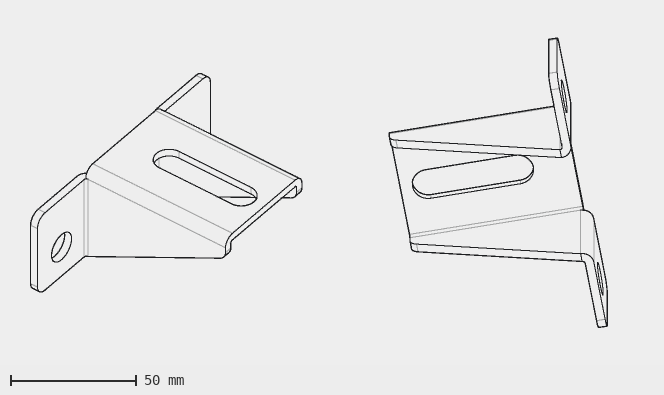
import cadquery as cq
import math

length = 73.5
span = 113.0
height = 45.0

thickness = 3.5
inner_bend = 1.0
outer_bend = inner_bend + thickness

channel_width = 50.0
free_end_depth = 10.1
corner_radius = 5.0
slot_width = 12.7
slot_length = 48.7
slot_end_margin = 5.0

hole_diameter = 13.0
hole_spacing = 81.5
hole_height = 15.1

half_width = channel_width / 2
flange_height = height - outer_bend


def make_arch(width, arch_height, bend_radius):
    """Block along X, from the channel's near end to its free end, with rounded top edges."""
    return (
        cq.Workplane("XY", origin=(thickness, 0, 0))
        .box(length - thickness, width, arch_height, centered=(False, True, False))
        .edges("|X and >Z")
        .fillet(bend_radius)
    )


def make_channel():
    """Inverted U with tapered side walls and bent top edges."""
    outer = make_arch(channel_width, height, outer_bend)
    inner = make_arch(channel_width - 2 * thickness, height - thickness, inner_bend)
    return outer.cut(inner).intersect(make_side_outline())


def make_side_outline():
    """Side silhouette of the channel: the walls start behind the flange bends and taper to the free end."""
    return (
        cq.Workplane("XZ")
        .moveTo(outer_bend, 0)
        .lineTo(length, height - free_end_depth)
        .lineTo(length, height)
        .lineTo(thickness, height)
        .lineTo(thickness, flange_height)
        .lineTo(outer_bend, flange_height)
        .close()
        .extrude(half_width, both=True)
        .edges(cq.selectors.NearestToPointSelector((length, 0, height - free_end_depth)))
        .fillet(corner_radius)
    )


def make_slot():
    """Cutter for the lengthwise slot in the top of the channel."""
    slot_center = length - slot_end_margin - slot_length / 2
    return (
        cq.Workplane("XY", origin=(slot_center, 0, flange_height))
        .slot2D(slot_length, slot_width)
        .extrude(outer_bend)
    )


def make_flange():
    """Flange on the +Y side with its bend, rounded outer corners and bolt hole."""
    bend_y = half_width + inner_bend
    wall_inside = half_width - thickness
    diagonal = math.sqrt(0.5)
    flange = (
        cq.Workplane("XY")
        .moveTo(0, span / 2)
        .lineTo(0, bend_y)
        .threePointArc(
            (outer_bend - outer_bend * diagonal, bend_y - outer_bend * diagonal),
            (outer_bend, wall_inside),
        )
        .lineTo(outer_bend, half_width)
        .threePointArc(
            (outer_bend - inner_bend * diagonal, bend_y - inner_bend * diagonal),
            (thickness, bend_y),
        )
        .lineTo(thickness, span / 2)
        .close()
        .extrude(flange_height)
        .edges("|X and >Y")
        .fillet(corner_radius)
    )
    hole = (
        cq.Workplane("YZ")
        .center(hole_spacing / 2, hole_height)
        .circle(hole_diameter / 2)
        .extrude(thickness)
    )
    return flange.cut(hole)


flange = make_flange()
channel = make_channel().cut(make_slot())
result = channel.union(flange).union(flange.mirror("XZ"))